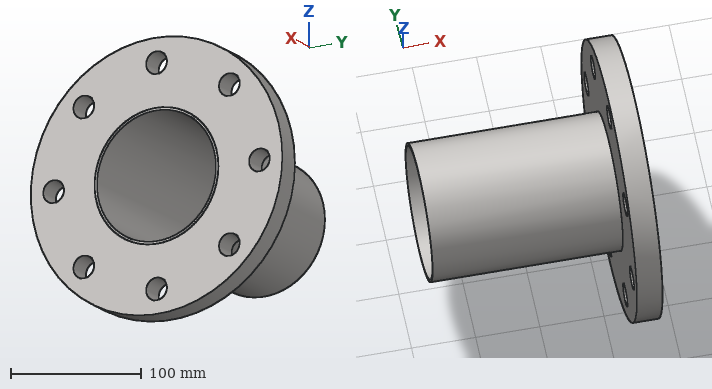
import cadquery as cq

flange_diameter = 220.0
flange_thickness = 20.0
flange_bore_diameter = 108.5
bolt_circle_diameter = 180.0
bolt_hole_diameter = 18.0
bolt_hole_count = 8
pipe_outer_diameter = 108.0
pipe_inner_diameter = 104.0
overall_length = 168.0

flange_start = overall_length - flange_thickness


def make_flange():
    """Loose ring flange around the far end of the pipe, with a circle of bolt holes."""
    ring = (
        cq.Workplane("YZ", origin=(flange_start, 0, 0))
        .circle(flange_diameter / 2)
        .circle(flange_bore_diameter / 2)
        .extrude(flange_thickness)
    )
    bolt_holes = (
        cq.Workplane("YZ", origin=(flange_start, 0, 0))
        .polarArray(bolt_circle_diameter / 2, 0, 360, bolt_hole_count)
        .circle(bolt_hole_diameter / 2)
        .extrude(flange_thickness)
    )
    return ring.cut(bolt_holes)


def make_pipe():
    """Thin-walled pipe that passes through the flange and ends flush with its far face."""
    return (
        cq.Workplane("YZ")
        .circle(pipe_outer_diameter / 2)
        .circle(pipe_inner_diameter / 2)
        .extrude(overall_length)
    )


flange = make_flange()
pipe = make_pipe()

result = cq.Compound.makeCompound([flange.val(), pipe.val()])